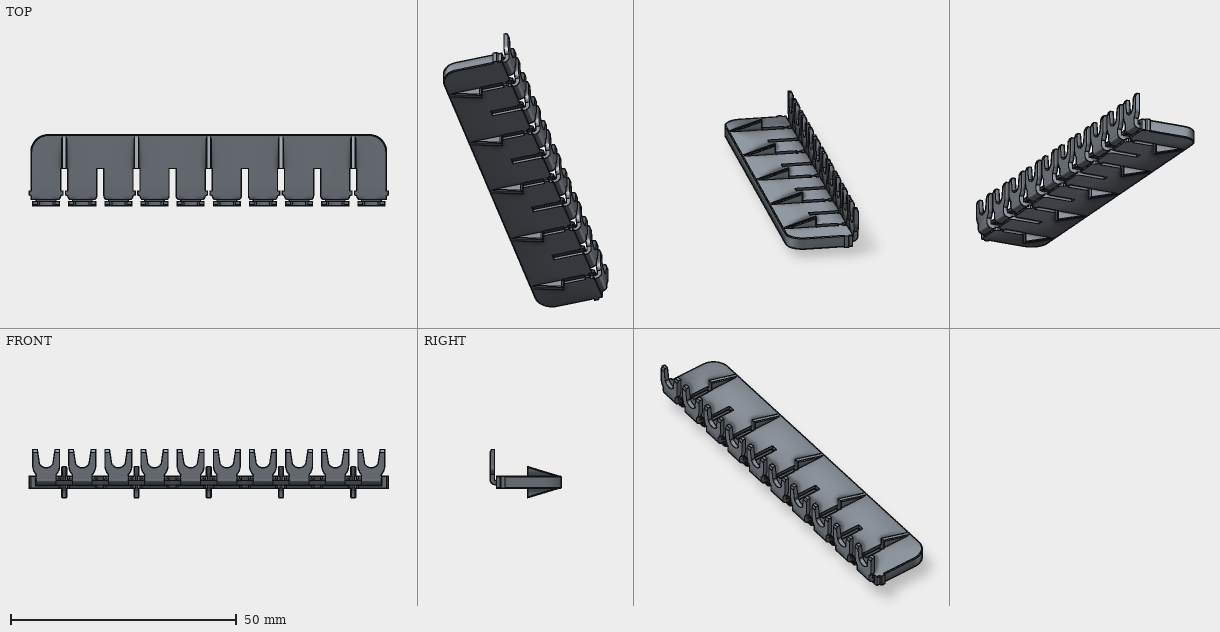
import cadquery as cq
import math


pitch = 8.0
terminal_count = 10
slot_width = 1.5
row_length = pitch * terminal_count
terminal_xs = [pitch * (i + 0.5) - row_length / 2 for i in range(terminal_count)]
slot_xs = [pitch * (i + 1) - row_length / 2 for i in range(terminal_count - 1)]
ribbed_xs = slot_xs[0::2]

housing_depth = 14.4
housing_height = 2.7
housing_half_length = 39.4
back_corner_radius = 3.9
edge_chamfer = 0.2
slot_end_y = 6.85
slot_mouth_flare = 0.45
slot_mouth_depth = 0.95

nub_gap = 0.5
nub_back_y = 1.9
nub_tip_y = 1.05
nub_front_y = 0.8
nub_reach = (slot_width - nub_gap) / 2
end_nub_reach = row_length / 2 - nub_gap / 2 - housing_half_length

rib_width = 1.2
rib_height = 7.0
rib_back_margin = 0.5
rib_chamfer = 0.2

metal_thickness = 1.0
metal_center_z = -0.1
metal_bottom_z = metal_center_z - metal_thickness / 2
metal_top_z = metal_bottom_z + metal_thickness
fork_front_y = -1.4
fork_back_y = fork_front_y + metal_thickness
bend_inner_radius = 0.2
neck_width = 4.4
web_front_y = 7.2
fork_width = 6.0
fork_center_z = 3.7
fork_top_z = 7.26
tip_chamfer_height = 0.7
tip_chamfer_depth = 0.3
notch_bottom_z = 3.2
notch_corner_z = 4.1
notch_corner_half_width = 1.47
notch_top_half_width = 1.95

mouth_length = 76.8
mouth_height = 1.6
mouth_depth = 0.3


def block(x0, x1, y0, y1, height, center_z=0.0):
    """Box between two X and two Y limits, centred in height on center_z."""
    size = (x1 - x0, y1 - y0, height)
    return cq.Workplane("XY").box(*size).translate(((x0 + x1) / 2, (y0 + y1) / 2, center_z))


def metal_gap(x, half_width, start_y):
    """Space between neighbouring terminals, as thick as the metal and reaching back to the web."""
    return block(x - half_width, x + half_width, start_y, web_front_y, metal_thickness, metal_center_z)


def nub(wall_x, direction, reach):
    """Nub standing off a side wall, straight at the back and sloped at the front."""
    root_x = wall_x - direction * nub_reach
    tip_x = wall_x + direction * reach
    outline = [
        (root_x, nub_back_y),
        (tip_x, nub_back_y),
        (tip_x, nub_tip_y),
        (wall_x, nub_front_y),
        (root_x, nub_front_y),
    ]
    return (
        cq.Workplane("XY", origin=(0, 0, -housing_height / 2))
        .polyline(outline).close().extrude(housing_height)
    )


def slot_cutter(x):
    """Slot from the front edge, with a rounded mouth."""
    half = slot_width / 2
    wide = half + slot_mouth_flare
    flare_radius = (slot_mouth_depth**2 + slot_mouth_flare**2) / (2 * slot_mouth_flare)
    return (
        cq.Workplane("XY", origin=(x, 0, -housing_height / 2))
        .moveTo(-wide, 0)
        .radiusArc((-half, slot_mouth_depth), -flare_radius)
        .lineTo(-half, slot_end_y)
        .lineTo(half, slot_end_y)
        .lineTo(half, slot_mouth_depth)
        .radiusArc((wide, 0), -flare_radius)
        .close().extrude(housing_height)
    )


def make_housing():
    """Flat housing with slots, nubs, a front mouth and pockets between the terminals."""
    body = block(-housing_half_length, housing_half_length, 0, housing_depth, housing_height)
    body = body.edges("|Z and >Y").fillet(back_corner_radius)
    body = body.edges("(not |Z) and (not <Y)").chamfer(edge_chamfer)
    for x in slot_xs:
        body = body.cut(slot_cutter(x))
    for x in ribbed_xs:
        body = body.union(nub(x - slot_width / 2, 1, nub_reach))
        body = body.union(nub(x + slot_width / 2, -1, nub_reach))
    for side in (-1, 1):
        body = body.union(nub(side * housing_half_length, side, end_nub_reach))
    half_mouth = mouth_length / 2
    body = body.cut(block(-half_mouth, half_mouth, 0, mouth_depth, mouth_height, metal_center_z))
    pocket_half_width = (pitch - neck_width) / 2
    for x in slot_xs:
        body = body.cut(metal_gap(x, pocket_half_width, 0))
    return body


def make_rib(x):
    """Wedge above and below the housing, rising from the back to the slot end."""
    tip_y = housing_depth - rib_back_margin
    outline = [
        (slot_end_y, -rib_height / 2),
        (slot_end_y, rib_height / 2),
        (tip_y, housing_height / 2),
        (tip_y, -housing_height / 2),
    ]
    wedge = (
        cq.Workplane("YZ", origin=(x - rib_width / 2, 0, 0))
        .polyline(outline).close().extrude(rib_width)
        .faces("<X or >X").chamfer(rib_chamfer)
    )
    recess = metal_gap(x, rib_width, slot_end_y)
    return wedge.cut(recess)


def make_terminal(x):
    """L-shaped metal terminal ending in an upright fork."""
    bend_outer_radius = bend_inner_radius + metal_thickness
    strip_profile = (
        cq.Workplane("YZ", origin=(x - fork_width / 2, 0, 0))
        .moveTo(web_front_y, metal_bottom_z)
        .lineTo(fork_front_y + bend_outer_radius, metal_bottom_z)
        .radiusArc((fork_front_y, metal_bottom_z + bend_outer_radius), bend_outer_radius)
        .lineTo(fork_front_y, fork_top_z - tip_chamfer_height)
        .lineTo(fork_front_y + tip_chamfer_depth, fork_top_z)
        .lineTo(fork_back_y, fork_top_z)
        .lineTo(fork_back_y, metal_top_z + bend_inner_radius)
        .radiusArc((fork_back_y + bend_inner_radius, metal_top_z), -bend_inner_radius)
        .lineTo(web_front_y, metal_top_z)
        .close().extrude(fork_width)
    )
    half_fork = fork_width / 2
    half_neck = neck_width / 2
    shoulder_z = fork_center_z - math.sqrt(half_fork**2 - half_neck**2)
    fork_outline = (
        cq.Workplane("XZ", origin=(x, web_front_y, 0))
        .moveTo(-half_neck, metal_bottom_z)
        .lineTo(half_neck, metal_bottom_z)
        .lineTo(half_neck, shoulder_z)
        .radiusArc((half_fork, fork_center_z), -half_fork)
        .lineTo(half_fork, fork_top_z)
        .lineTo(notch_top_half_width, fork_top_z)
        .lineTo(notch_corner_half_width, notch_corner_z)
        .threePointArc((0, notch_bottom_z), (-notch_corner_half_width, notch_corner_z))
        .lineTo(-notch_top_half_width, fork_top_z)
        .lineTo(-half_fork, fork_top_z)
        .lineTo(-half_fork, fork_center_z)
        .radiusArc((-half_neck, shoulder_z), -half_fork)
        .close().extrude(web_front_y - fork_front_y)
    )
    return strip_profile.intersect(fork_outline)


result = make_housing()
for rib_x in ribbed_xs:
    result = result.union(make_rib(rib_x))
for terminal_x in terminal_xs:
    result = result.union(make_terminal(terminal_x))